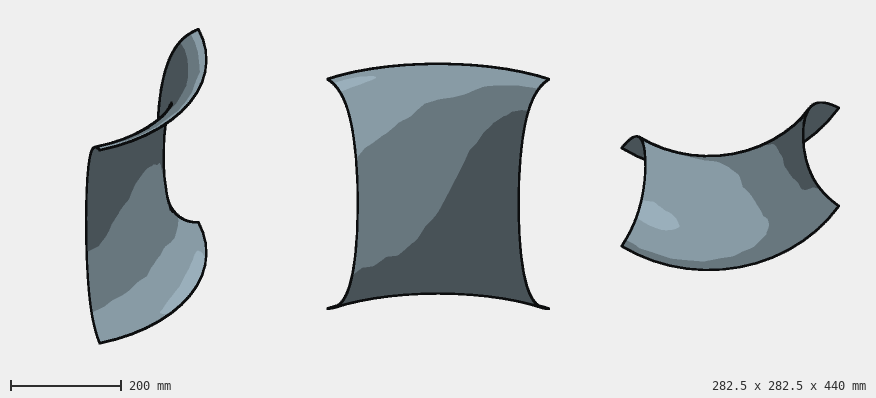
import cadquery as cq
import math

height = 440.0
rim_radius = 282.5
wall = 1.0
sweep_angle = 90.0

flare_control = (206.5, 202.5)
waist_control = (197.0, 99.5)

half_height = height / 2
rim = (rim_radius, half_height - wall)
diagonal_step = wall * math.sqrt(0.5)


def mirrored(point):
    return (point[0], -point[1])


def moved(point, radial, vertical):
    return (point[0] + radial, point[1] + vertical)


hollow_half = [rim, flare_control, waist_control]
axis_half = [
    moved(rim, 0, wall),
    moved(flare_control, -diagonal_step, diagonal_step),
    moved(waist_control, -wall, 0),
]


def full_height(upper_half):
    """Control points from the upper rim down to the lower rim."""
    return upper_half + [mirrored(point) for point in reversed(upper_half)]


hollow_face = full_height(hollow_half)
axis_face = full_height(axis_half)

profile = (
    cq.Workplane("XZ")
    .moveTo(*hollow_face[0])
    .bezier(hollow_face)
    .lineTo(*axis_face[-1])
    .bezier(list(reversed(axis_face)))
    .close()
)

result = profile.revolve(sweep_angle, (0, 0, 0), (0, 1, 0))